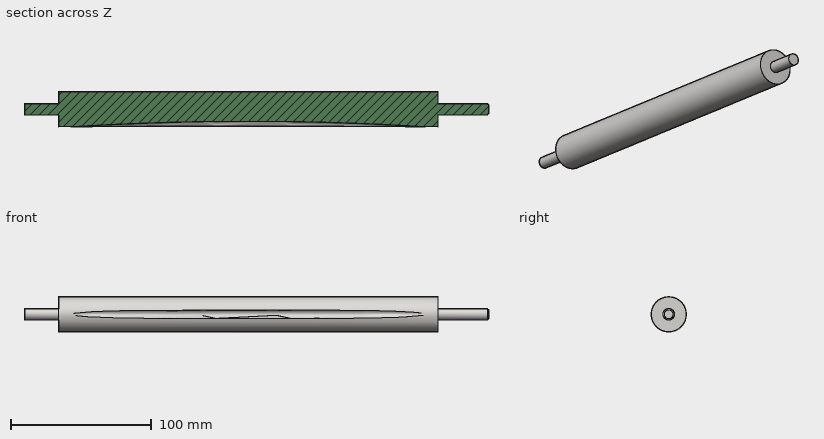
import cadquery as cq

total_length = 330.0
body_diameter = 25.0
body_length = 270.0
left_journal_length = 24.0
right_journal_length = total_length - body_length - left_journal_length
journal_diameter = 8.2
end_chamfer = 1.0

groove_length = 251.5
groove_depth = 4.0
groove_tool_radius = 3.0

body_start = -total_length / 2 + left_journal_length
body_end = body_start + body_length
body_middle = (body_start + body_end) / 2


def cylinder_along_x(start, length, diameter):
    return cq.Workplane("YZ").workplane(offset=start).circle(diameter / 2).extrude(length)


def groove_cutter():
    """Large ring of round section that dips into the body between the two groove ends."""
    half_length = groove_length / 2
    outer_radius = (half_length**2 + groove_depth**2) / (2 * groove_depth)
    ring_radius = outer_radius - groove_tool_radius
    deepest_y = -body_diameter / 2 + groove_depth
    ring_center = cq.Vector(body_middle, deepest_y - outer_radius, 0)
    return cq.Workplane(cq.Solid.makeTorus(ring_radius, groove_tool_radius, ring_center))


body = cylinder_along_x(body_start, body_length, body_diameter)
left_journal = cylinder_along_x(-total_length / 2, left_journal_length, journal_diameter)
right_journal = cylinder_along_x(body_end, right_journal_length, journal_diameter)
right_journal = right_journal.faces(">X").chamfer(end_chamfer)

result = body.union(left_journal).union(right_journal)
result = result.cut(groove_cutter())